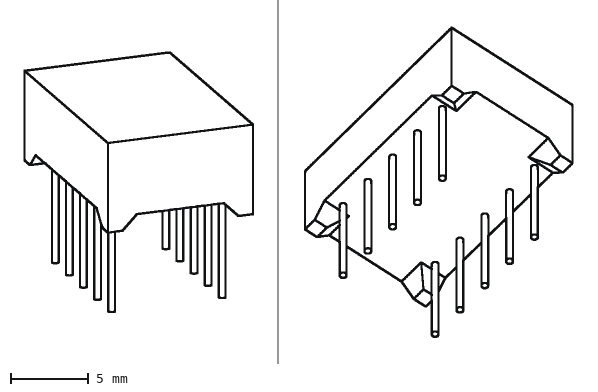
import cadquery as cq

length = 15.02
width = 10.0
body_height = 6.11

foot_height = 1.0
foot_flat = 1.0
foot_slope_run = 1.0

pin_diameter = 0.45
pins_per_row = 5
pin_pitch = 2.54
row_spacing = 7.62
total_height = 12.4
pin_drop = total_height - body_height


def channel(plane, span, run_length):
    """Trapezoidal channel through the underside, between feet on a side of the given span."""
    half_bottom = span / 2 - foot_flat
    half_top = half_bottom - foot_slope_run
    outline = [
        (-half_bottom, 0),
        (half_bottom, 0),
        (half_top, foot_height),
        (-half_top, foot_height),
    ]
    return cq.Workplane(plane).polyline(outline).close().extrude(run_length / 2, both=True)


def pins():
    """Both rows of pins, from the recessed underside down to the tips."""
    return (
        cq.Workplane("XY")
        .workplane(offset=-pin_drop)
        .rarray(pin_pitch, row_spacing, pins_per_row, 2)
        .circle(pin_diameter / 2)
        .extrude(pin_drop + foot_height)
    )


body = cq.Workplane("XY").box(length, width, body_height, centered=(True, True, False))
body = body.cut(channel("XZ", length, width))
body = body.cut(channel("YZ", width, length))

result = body.union(pins())